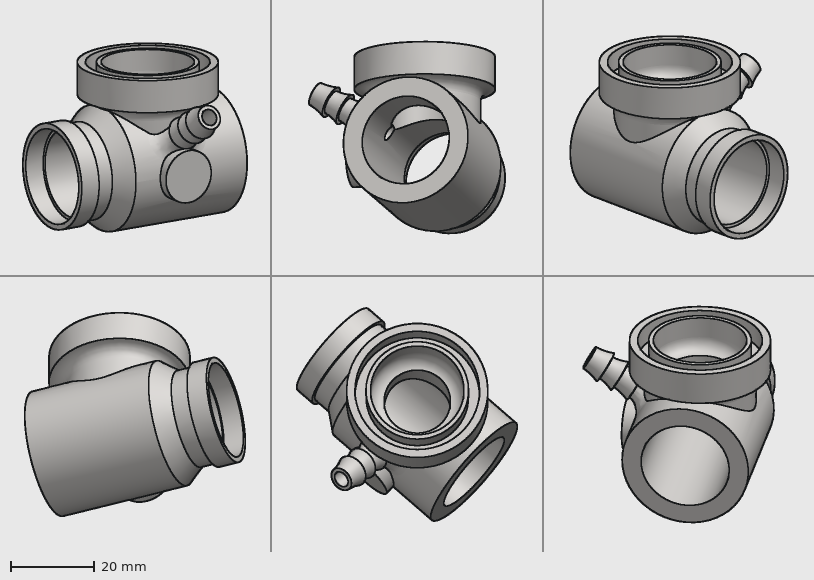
import cadquery as cq
import math

BODY_RADIUS = 15.5
BODY_BACK_Y = 18.5
BODY_FRONT_Y = -13.5
SPIGOT_RADIUS = 12.0
SPIGOT_BACK_Y = -18.0
COLLAR_RADIUS = 13.0
COLLAR_BACK_Y = -22.45
COLLAR_FRONT_Y = -27.45
BORE_RADIUS = 10.8
SOCKET_RADIUS = 11.65
SOCKET_DEPTH = 5.0

CUP_TOP_Z = 24.5
CUP_HEIGHT = 8.0
CUP_RADIUS = 17.0
CUP_WALL = 2.0
NECK_RADIUS = 13.5
NECK_FLARE_RADIUS = 3.0
GROOVE_INNER_RADIUS = 12.35
GROOVE_DEPTH = 5.0
CUP_BORE_RADIUS = 11.25
CUP_HOLE_RADIUS = 8.0
CUP_BORE_DEPTH = 5.3

PAD_RADIUS = 6.5
PAD_END_X = 18.0

NIPPLE_ANGLE = 30.0
NIPPLE_TIP_X = 27.1
NIPPLE_TIP_Z = 16.9
BARB_LENGTHS = (4.5, 4.0, 4.5)
STEM_LENGTH = 13.0
STEM_BARB_OVERLAP = 4.0
STEM_FILLET_RADIUS = 5.0
BARB_LARGE_RADIUS = 4.0
BARB_SMALL_RADIUS = 3.0
BARB_SAG = 0.2
NIPPLE_BORE_RADIUS = 2.0


def make_pipe():
    """Stepped pipe with a conical shoulder and an end collar."""
    profile = (
        cq.Workplane("XY")
        .moveTo(0, BODY_BACK_Y)
        .lineTo(BODY_RADIUS, BODY_BACK_Y)
        .lineTo(BODY_RADIUS, BODY_FRONT_Y)
        .lineTo(SPIGOT_RADIUS, SPIGOT_BACK_Y)
        .lineTo(SPIGOT_RADIUS, COLLAR_BACK_Y)
        .lineTo(COLLAR_RADIUS, COLLAR_BACK_Y)
        .lineTo(COLLAR_RADIUS, COLLAR_FRONT_Y)
        .lineTo(0, COLLAR_FRONT_Y)
        .close()
    )
    return profile.revolve(360, (0, 0, 0), (0, 1, 0))


def make_cup():
    """Solid cup and its neck, flaring out below the cup floor."""
    cup_bottom_z = CUP_TOP_Z - CUP_HEIGHT
    flare_end_z = cup_bottom_z - NECK_FLARE_RADIUS
    profile = (
        cq.Workplane("XZ")
        .lineTo(NECK_RADIUS, 0)
        .lineTo(NECK_RADIUS, flare_end_z)
        .radiusArc((NECK_RADIUS + NECK_FLARE_RADIUS, cup_bottom_z), NECK_FLARE_RADIUS)
        .lineTo(CUP_RADIUS, cup_bottom_z)
        .lineTo(CUP_RADIUS, CUP_TOP_Z)
        .lineTo(0, CUP_TOP_Z)
        .close()
    )
    return profile.revolve(360, (0, 0, 0), (0, 1, 0))


def make_groove():
    """Ring-shaped groove between the two cup walls."""
    return (
        cq.Workplane("XY", origin=(0, 0, CUP_TOP_Z))
        .circle(CUP_RADIUS - CUP_WALL)
        .circle(GROOVE_INNER_RADIUS)
        .extrude(-GROOVE_DEPTH)
    )


def make_cup_bore():
    """Bore of the cup, narrowing through a rounded bowl to the hole into the pipe."""
    bowl_top_z = CUP_TOP_Z - CUP_BORE_DEPTH
    bowl_radius = CUP_BORE_RADIUS - CUP_HOLE_RADIUS
    profile = (
        cq.Workplane("XZ")
        .lineTo(CUP_HOLE_RADIUS, 0)
        .lineTo(CUP_HOLE_RADIUS, bowl_top_z - bowl_radius)
        .radiusArc((CUP_BORE_RADIUS, bowl_top_z), -bowl_radius)
        .lineTo(CUP_BORE_RADIUS, CUP_TOP_Z)
        .lineTo(0, CUP_TOP_Z)
        .close()
    )
    return profile.revolve(360, (0, 0, 0), (0, 1, 0))


def make_pad():
    """Plain round pad on the side of the pipe."""
    inner_x = (BORE_RADIUS + BODY_RADIUS) / 2
    return cq.Workplane("YZ", origin=(inner_x, 0, 0)).circle(PAD_RADIUS).extrude(PAD_END_X - inner_x)


def nipple_plane():
    """Plane at the nipple tip whose local X runs back along the nipple axis."""
    angle = math.radians(NIPPLE_ANGLE)
    return cq.Plane(
        origin=(NIPPLE_TIP_X, 0, NIPPLE_TIP_Z),
        xDir=(-math.cos(angle), 0, -math.sin(angle)),
        normal=(0, 1, 0),
    )


def make_stem():
    """Plain round stem that starts inside the last barb and is rooted in the pipe wall."""
    stem_start = sum(BARB_LENGTHS) - STEM_BARB_OVERLAP
    profile = (
        cq.Workplane(nipple_plane())
        .moveTo(stem_start, 0)
        .rect(STEM_LENGTH, BARB_SMALL_RADIUS, centered=False)
    )
    return profile.revolve(360, (0, 0, 0), (1, 0, 0))


def make_barbs():
    """Row of concave barbs, each widening away from the tip."""
    middle_radius = (BARB_LARGE_RADIUS + BARB_SMALL_RADIUS) / 2 - BARB_SAG
    profile = cq.Workplane(nipple_plane())
    start = 0
    for length in BARB_LENGTHS:
        end = start + length
        profile = profile.lineTo(start, BARB_SMALL_RADIUS)
        profile = profile.threePointArc((start + length / 2, middle_radius), (end, BARB_LARGE_RADIUS))
        start = end
    profile = profile.lineTo(end, 0).close()
    return profile.revolve(360, (0, 0, 0), (1, 0, 0))


def make_nipple_bore():
    """Straight bore from the nipple tip into the hollow of the pipe."""
    length = NIPPLE_TIP_X / math.cos(math.radians(NIPPLE_ANGLE))
    profile = cq.Workplane(nipple_plane()).rect(length, NIPPLE_BORE_RADIUS, centered=False)
    return profile.revolve(360, (0, 0, 0), (1, 0, 0))


def make_pipe_bore():
    """Through bore of the pipe with a wider socket at the collar end."""
    front = cq.Workplane("XZ", origin=(0, COLLAR_FRONT_Y, 0))
    bore = front.circle(BORE_RADIUS).extrude(COLLAR_FRONT_Y - BODY_BACK_Y)
    socket = front.circle(SOCKET_RADIUS).extrude(-SOCKET_DEPTH)
    return bore.union(socket)


def make_pipe_with_stem():
    """Pipe and stem, with a large fillet where the stem meets the pipe."""
    pipe = make_pipe()
    stem = make_stem()
    joined = pipe.union(stem)
    plain_edges = pipe.edges().vals() + stem.edges().vals()
    plain_types = {edge.geomType() for edge in plain_edges}
    joint = [edge for edge in joined.edges().vals() if edge.geomType() not in plain_types]
    return joined.newObject(joint).fillet(STEM_FILLET_RADIUS)


fitting = (
    make_pipe_with_stem()
    .union(make_cup())
    .union(make_pad())
    .union(make_barbs())
    .cut(make_groove())
    .cut(make_cup_bore())
    .cut(make_pipe_bore())
    .cut(make_nipple_bore())
)
result = cq.Workplane(fitting.solids().val())